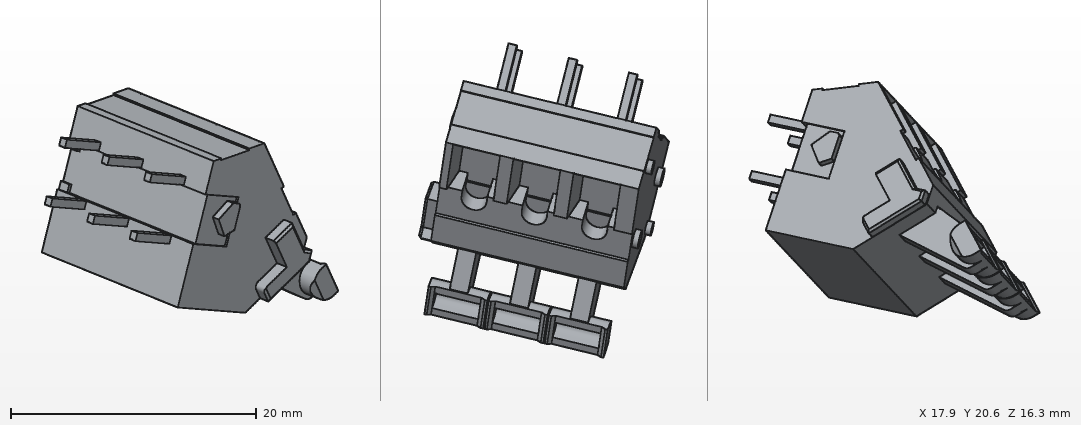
import cadquery as cq
import math


poles = 3
pitch = 5.08
first_pole_x = 3.15
body_length = 16.26
body_top_z = 16.33
front_tilt = math.radians(18.8)
back_tilt = math.radians(26.3)

top_front_y = 6.3
top_back_y = 11.95
front_height = 12.45
bottom_front_length = 7.95
back_height = 10.7
lower_back_length = 1.67

top_groove_front_y = 7.16
top_groove_back_y = 10.28
top_groove_depth = 0.15

back_recess_start = 4.91
back_recess_end = 7.9
back_recess_depth = 0.29

front_recess_start = 2.85
front_recess_end = 7.05
front_recess_depth = 0.45
recess_pad_length = 1.01
recess_pad_height = 0.7
recess_pad_depth = 0.19
end_slot_width = 0.2
end_slot_depth = 3.9

pocket_depth = 2.02
pocket_top = 0.05
pocket_left = 1.63
pocket_right = 2.33
pocket_left_draft = math.radians(4)
pocket_right_draft = math.radians(15)
pocket_bottom_draft = math.radians(17)
wire_hole_radius = 1.05
wire_hole_position = 5.57
wire_hole_depth = 1.84
wire_step_position = 5.18

pin_size = 0.7
pin_length = 4.0
pin_positions = (2.44, 7.43)

stud_length = 0.5
small_stud_radius = 0.58
large_stud_radius = 0.76
studs = (
    (9.3, 15.13, small_stud_radius),
    (13.42, 9.58, large_stud_radius),
    (6.3, 6.42, large_stud_radius),
    (9.52, 3.1, small_stud_radius),
)

lever_tip = (20.65, 0.76)
paddle_width = 4.95
paddle_height = 3.05
paddle_flat = 0.6
paddle_nose_radius = paddle_height / 2
paddle_bevel_start = 1.63
paddle_bevel_width = 0.54
paddle_rim = 0.2
paddle_dish_depth = 0.17
paddle_dish_slope_width = 0.33
finger_groove_radius = 0.8
arm_width = 1.53
arm_tip_depth = 1.95
arm_tip_radius = 0.7
arm_top_depth = 0.29
arm_bottom_angle = math.radians(32.4)
arm_bottom_length = 7.22
arm_top_angle = math.radians(40.8)
arm_top_length = 4.13

small_clip_height = 0.52
small_clip_apex = (6.38, 11.31)
small_clip_roof_angle = math.radians(50)
small_clip_upper_roof = 1.9
small_clip_lower_roof = 1.78
small_clip_side = 0.72
small_clip_corner = 0.17
small_clip_back = 2.06

big_clip_height = 1.18
big_clip_top = (14.12, 9.0)
big_clip_back = 3.05
big_clip_top_width = 2.3
big_clip_inner_wall = 2.9
big_clip_foot_ledge = 2.83
big_clip_foot_height = 1.47
big_clip_foot_radius = 0.47
big_clip_heel = 0.9
big_clip_chamfer = 0.2


front_down = (-math.sin(front_tilt), -math.cos(front_tilt))
front_in = (math.cos(front_tilt), -math.sin(front_tilt))
back_down = (math.sin(back_tilt), -math.cos(back_tilt))
back_in = (-math.cos(back_tilt), -math.sin(back_tilt))


def move(point, direction, distance):
    return (point[0] + distance * direction[0], point[1] + distance * direction[1])


def prism(points, x_start, length):
    """Extrude a closed YZ outline along +X."""
    return cq.Workplane("YZ").workplane(offset=x_start).polyline(points).close().extrude(length)


def face_block(corner, down, inward, start, end, depth, x_start, length):
    """Block let into a tilted face, between two distances down from its top corner."""
    upper = move(corner, down, start)
    lower = move(corner, down, end)
    outline = [upper, lower, move(lower, inward, depth), move(upper, inward, depth)]
    return prism(outline, x_start, length)


def meet(point_a, direction_a, point_b, direction_b):
    """Intersection of two lines."""
    cross = direction_a[0] * direction_b[1] - direction_a[1] * direction_b[0]
    gap = (point_b[0] - point_a[0], point_b[1] - point_a[1])
    return move(point_a, direction_a, (gap[0] * direction_b[1] - gap[1] * direction_b[0]) / cross)


top_front = (top_front_y, body_top_z)
top_back = (top_back_y, body_top_z)
bottom_front = move(top_front, front_down, front_height)
keel = move(bottom_front, front_in, bottom_front_length)
back_corner = move(top_back, back_down, back_height)
lower_back = move(back_corner, front_down, lower_back_length)
pole_centers = [first_pole_x + i * pitch for i in range(poles)]


def front_cut(start, end, depth, x_start, length):
    return face_block(top_front, front_down, front_in, start, end, depth, x_start, length)


def make_housing():
    outline = [top_front, bottom_front, keel, lower_back, back_corner, top_back]
    housing = prism(outline, 0, body_length)

    groove_floor_z = body_top_z - top_groove_depth
    top_groove = [
        (top_groove_front_y, body_top_z),
        (top_groove_back_y, body_top_z),
        (top_groove_back_y, groove_floor_z),
        (top_groove_front_y, groove_floor_z),
    ]
    housing = housing.cut(prism(top_groove, 0, body_length))
    housing = housing.cut(face_block(
        top_back, back_down, back_in, back_recess_start, back_recess_end, back_recess_depth, 0, body_length
    ))

    recess = front_cut(front_recess_start, front_recess_end, front_recess_depth, 0, body_length)
    for pad_start in (front_recess_start, front_recess_end - recess_pad_height):
        pad_end = pad_start + recess_pad_height
        opening = front_cut(pad_start, pad_end, recess_pad_depth, 0, recess_pad_length)
        pad = front_cut(pad_start, pad_end, front_recess_depth, 0, recess_pad_length).cut(opening)
        recess = recess.cut(pad)
    housing = housing.cut(recess)
    slot_x = body_length - end_slot_width
    end_slot = front_cut(front_recess_start, front_recess_end, end_slot_depth, slot_x, end_slot_width)
    return housing.cut(end_slot)


def make_wire_entry(x):
    """Drafted pocket in the back face and the stepped wire hole running into it."""
    back_face = cq.Plane(
        origin=(x, top_back[0], top_back[1]), xDir=(1, 0, 0), normal=(0, -back_in[0], -back_in[1])
    )

    def pocket_section(depth):
        left = -pocket_left + depth * math.tan(pocket_left_draft)
        right = pocket_right - depth * math.tan(pocket_right_draft)
        bottom = back_recess_start + (back_recess_depth - depth) * math.tan(pocket_bottom_draft)
        return [(left, pocket_top), (right, pocket_top), (right, bottom), (left, bottom)]

    pocket = (
        cq.Workplane(back_face)
        .polyline(pocket_section(0)).close()
        .workplane(offset=-pocket_depth)
        .polyline(pocket_section(pocket_depth)).close()
        .loft(ruled=True)
    )
    hole = (
        cq.Workplane(back_face)
        .moveTo(-wire_hole_radius, pocket_top)
        .lineTo(-wire_hole_radius, wire_hole_position)
        .threePointArc((0, wire_hole_position + wire_hole_radius), (wire_hole_radius, wire_hole_position))
        .lineTo(wire_hole_radius, pocket_top)
        .close()
        .extrude(-wire_hole_depth)
    )
    deep_end = (
        cq.Workplane(back_face)
        .moveTo(-wire_hole_radius, pocket_top)
        .lineTo(-wire_hole_radius, wire_step_position)
        .lineTo(wire_hole_radius, wire_step_position)
        .lineTo(wire_hole_radius, pocket_top)
        .close()
        .extrude(-pocket_depth)
    )
    return pocket.union(hole).union(deep_end)


def make_pin(x, position):
    return face_block(
        top_front, front_down, front_in,
        position - pin_size / 2, position + pin_size / 2, -pin_length, x - pin_size / 2, pin_size,
    )


def paddle_point(up, inward):
    return move(move(lever_tip, back_down, -up), back_in, inward)


def make_paddle(x):
    """Finger paddle: round-nosed side profile crossed with a dished, bevelled plan."""
    half_width = paddle_width / 2
    nose_depth = paddle_flat + paddle_nose_radius
    profile = (
        cq.Workplane("YZ").workplane(offset=x - half_width)
        .moveTo(*paddle_point(0, 0))
        .lineTo(*paddle_point(0, paddle_flat))
        .threePointArc(paddle_point(paddle_height / 2, nose_depth), paddle_point(paddle_height, paddle_flat))
        .lineTo(*paddle_point(paddle_height, 0))
        .close()
        .extrude(paddle_width)
    )
    plan_plane = cq.Plane(origin=(x, *lever_tip), xDir=(1, 0, 0), normal=(0, back_down[0], back_down[1]))
    dish_edge = half_width - paddle_rim
    dish_floor_edge = dish_edge - paddle_dish_slope_width
    half_plan = [
        (dish_floor_edge, paddle_dish_depth),
        (dish_edge, 0),
        (half_width, 0),
        (half_width, paddle_bevel_start),
        (half_width - paddle_bevel_width, nose_depth),
    ]
    mirrored_half = [(-px, py) for px, py in reversed(half_plan)]
    plan = cq.Workplane(plan_plane).polyline(half_plan + mirrored_half).close().extrude(-paddle_height)
    return profile.intersect(plan)


def make_arm(x):
    tip_corner = paddle_point(0, arm_tip_depth)
    bottom_direction = (-math.cos(arm_bottom_angle), math.sin(arm_bottom_angle))
    top_direction = (-math.cos(arm_top_angle), math.sin(arm_top_angle))
    top_start = paddle_point(paddle_height, arm_top_depth)
    outline = [
        paddle_point(0, paddle_dish_depth),
        tip_corner,
        move(tip_corner, bottom_direction, arm_bottom_length),
        move(top_start, top_direction, arm_top_length),
        top_start,
        paddle_point(paddle_height, paddle_dish_depth),
    ]
    arm = prism(outline, x - arm_width / 2, arm_width)
    tip_edge = cq.selectors.NearestToPointSelector((x, *tip_corner))
    return arm.edges("|X").edges(tip_edge).fillet(arm_tip_radius)


def make_finger_groove(x):
    half_length = paddle_width / 2 - paddle_rim - paddle_dish_slope_width
    middle = paddle_height / 2
    lower = middle - finger_groove_radius
    upper = middle + finger_groove_radius
    return (
        cq.Workplane("YZ").workplane(offset=x - half_length)
        .moveTo(*paddle_point(lower, 0))
        .lineTo(*paddle_point(lower, paddle_flat))
        .threePointArc(
            paddle_point(middle, paddle_flat + finger_groove_radius), paddle_point(upper, paddle_flat)
        )
        .lineTo(*paddle_point(upper, 0))
        .close()
        .extrude(2 * half_length)
    )


def make_studs():
    group = cq.Workplane("YZ")
    for y, z, radius in studs:
        group = group.union(cq.Workplane("YZ").center(y, z).circle(radius).extrude(-stud_length))
    return group


def make_small_clip():
    """House-shaped clip standing in the end slot, its ridge toward the front face."""
    upper_angle = small_clip_roof_angle - front_tilt
    lower_angle = -small_clip_roof_angle - front_tilt
    upper_shoulder = move(
        small_clip_apex, (math.cos(upper_angle), math.sin(upper_angle)), small_clip_upper_roof
    )
    lower_shoulder = move(
        small_clip_apex, (math.cos(lower_angle), math.sin(lower_angle)), small_clip_lower_roof
    )
    upper_back = move(upper_shoulder, front_in, small_clip_side)
    back_start = move(move(upper_back, front_in, small_clip_corner), front_down, small_clip_corner)
    back_end = move(back_start, front_down, small_clip_back)
    outline = [small_clip_apex, upper_shoulder, upper_back, back_start, back_end, lower_shoulder]
    return prism(outline, body_length - end_slot_width, end_slot_width + small_clip_height)


def make_big_clip():
    """Stepped clip with a rounded foot; only its convex outer rim is chamfered."""
    inner_top = move(big_clip_top, back_in, big_clip_top_width)
    inner_corner = move(inner_top, back_down, big_clip_inner_wall)
    foot_corner = move(inner_corner, back_in, big_clip_foot_ledge)
    foot_bottom = move(foot_corner, back_down, big_clip_foot_height)
    shoulder = move(big_clip_top, back_down, big_clip_back)
    heel_top = move(shoulder, front_in, big_clip_heel)
    heel_bottom = meet(heel_top, front_down, foot_bottom, back_in)

    outline = [
        big_clip_top, inner_top, inner_corner, foot_corner, foot_bottom, heel_bottom, heel_top, shoulder
    ]
    clip = prism(outline, body_length, big_clip_height)
    foot_edge = cq.selectors.NearestToPointSelector((body_length + big_clip_height / 2, *foot_corner))
    clip = clip.edges("|X").edges(foot_edge).fillet(big_clip_foot_radius)

    rim_corner = meet(big_clip_top, back_in, foot_bottom, back_down)
    rim_outline = [big_clip_top, rim_corner, foot_bottom, heel_bottom, heel_top, shoulder]
    rim = prism(rim_outline, body_length, big_clip_height).faces(">X").chamfer(big_clip_chamfer)
    return clip.intersect(rim)


result = make_housing()
for center_x in pole_centers:
    result = result.cut(make_wire_entry(center_x))
    for pin_position in pin_positions:
        result = result.union(make_pin(center_x, pin_position))
    lever = make_paddle(center_x).union(make_arm(center_x)).cut(make_finger_groove(center_x))
    result = result.union(lever)
result = result.union(make_studs()).union(make_small_clip()).union(make_big_clip())